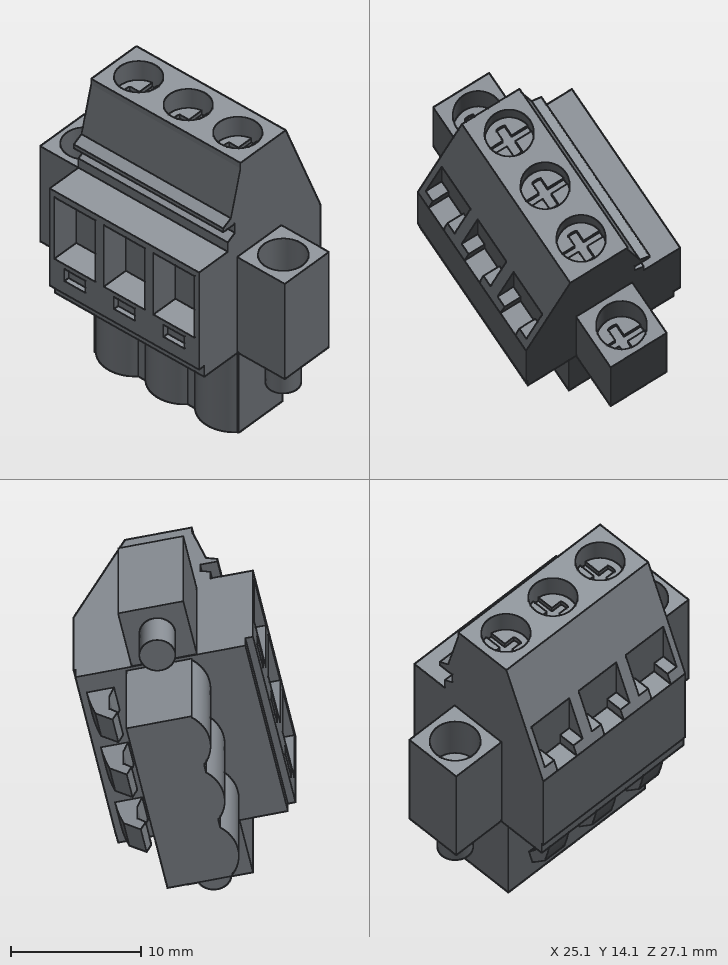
import cadquery as cq


pole_count = 3
pole_pitch = 5.07
pole_xs = [(i - (pole_count - 1) / 2) * pole_pitch for i in range(pole_count)]

housing_width = 15.28
housing_depth = 14.1
housing_bottom = 8.4
housing_top = 27.1
foot_top = 9.48
foot_back_step = 0.15
foot_front_step = 0.6
slope_bottom = 17.15
roof_back = -4.05
roof_front = -9.3
roof_edge_bottom = 26.55

ledge_top = 19.15
ledge_back = -10.75
lip_bottom = 21.44
lip_front = -11.3
groove_floor = -9.95

notch_front = -1.85
wide_notch_width = 4.06
wide_notch_back = -0.38
narrow_notch_width = 2.1

wire_width = 4.2
wire_bottom = 12.4
wire_top = 18.54
wire_depth = 2.55
test_width = 2.15
test_bottom = 10.75
test_top = 11.95
test_depth = 0.5

plug_width = 14.75
plug_back = -4.1
plug_front = -9.21
barrel_width = 4.35
barrel_bulge = 0.92

hook_width = narrow_notch_width
hook_back = -0.7
hook_root_front = -2.85
hook_neck = -2.47
hook_tip = 3.75

overall_width = 25.05
flange_depth = 5.12
flange_y = -7.13
flange_bottom = 8.48
flange_top = 17.97
flange_screw_x = 10.1
flange_xs = [-flange_screw_x, flange_screw_x]

terminal_screw_y = -6.7
terminal_screw_radius = 1.9
terminal_screw_length = 3.8
terminal_recess = 1.9
terminal_screw_top = housing_top - terminal_recess
terminal_screw_bottom = terminal_screw_top - terminal_screw_length

flange_head_radius = 1.95
flange_head_length = 1.9
flange_recess = 3.8
flange_head_top = flange_top - flange_recess
flange_head_bottom = flange_head_top - flange_head_length
shank_radius = 1.38
shank_bottom = 5.28

slot_width = 0.55
cross_slot_width = 0.79
terminal_cross_radius = 1.3
flange_cross_radius = 1.38
slot_depth = 0.4


def box(width, back, front, bottom, top, x=0.0):
    """Block centred on x, between two Y places and two Z places."""
    return cq.Workplane("XY").box(width, back - front, top - bottom).translate(
        (x, (back + front) / 2, (bottom + top) / 2)
    )


def cylinder(x, y, radius, bottom, top):
    """Upright cylinder between two heights."""
    return cq.Workplane("XY", origin=(x, y, bottom)).circle(radius).extrude(top - bottom)


def make_shell():
    """Main block, extruded from its (y, z) side outline."""
    outline = [
        (-foot_back_step, housing_bottom),
        (-foot_back_step, foot_top),
        (0, foot_top),
        (0, slope_bottom),
        (roof_back, housing_top),
        (roof_front, housing_top),
        (roof_front, roof_edge_bottom),
        (-10.4, 22.28),
        (lip_front, 21.82),
        (lip_front, lip_bottom),
        (groove_floor, lip_bottom),
        (groove_floor, 20.55),
        (ledge_back, 20.08),
        (ledge_back, ledge_top),
        (-housing_depth, ledge_top),
        (-housing_depth, foot_top),
        (-housing_depth + foot_front_step, foot_top),
        (-housing_depth + foot_front_step, housing_bottom),
    ]
    return cq.Workplane("YZ").polyline(outline).close().extrude(housing_width / 2, both=True)


def make_plug():
    """Plug below the block, with one rounded barrel per pole on its front."""
    plug = box(plug_width, plug_back, plug_front, 0, housing_bottom)
    half = barrel_width / 2
    for x in pole_xs:
        barrel = (
            cq.Workplane("XY")
            .moveTo(x - half, plug_front)
            .threePointArc((x, plug_front - barrel_bulge), (x + half, plug_front))
            .close()
            .extrude(housing_bottom)
        )
        plug = plug.union(barrel)
    return plug


def make_hook(x):
    """Latch hook under the housing, with a bowed back and a tip turned toward the plug."""
    return (
        cq.Workplane("YZ", origin=(x, 0, 0))
        .moveTo(hook_back, housing_bottom)
        .threePointArc((-0.98, 6.78), (-1.38, 5.12))
        .lineTo(-2.75, hook_tip)
        .lineTo(-3.12, 4.7)
        .lineTo(hook_neck, 5.45)
        .lineTo(hook_neck, 7.15)
        .lineTo(hook_root_front, housing_bottom)
        .close()
        .extrude(hook_width / 2, both=True)
    )


def make_back_notch(x):
    """Stepped notch; each floor starts where it meets the slope."""
    slope_rise = (housing_top - slope_bottom) / roof_back
    wide_floor = slope_bottom + slope_rise * wide_notch_back
    wide = box(wide_notch_width, 0, notch_front, wide_floor, housing_top, x)
    narrow = box(narrow_notch_width, 0, notch_front, slope_bottom, housing_top, x)
    return wide.union(narrow)


def make_front_openings(x):
    front = -housing_depth
    wire = box(wire_width, front + wire_depth, front, wire_bottom, wire_top, x)
    test = box(test_width, front + test_depth, front, test_bottom, test_top, x)
    return wire.union(test)


def make_housing():
    housing = make_shell().union(make_plug())
    flange_back = flange_y + flange_depth / 2
    flange_front = flange_y - flange_depth / 2
    housing = housing.union(box(overall_width, flange_back, flange_front, flange_bottom, flange_top))
    for x in pole_xs:
        housing = housing.union(make_hook(x))
        housing = housing.cut(make_back_notch(x)).cut(make_front_openings(x))
        housing = housing.cut(
            cylinder(x, terminal_screw_y, terminal_screw_radius, terminal_screw_bottom, housing_top)
        )
    for x in flange_xs:
        housing = housing.cut(cylinder(x, flange_y, flange_head_radius, flange_head_bottom, flange_top))
        housing = housing.cut(cylinder(x, flange_y, shank_radius, flange_bottom, flange_head_bottom))
    return housing


def make_cross_recess(x, y, head_radius, cross_radius, top):
    """Full-length slot along Y, crossed by a slot along X with rounded ends."""
    bottom = top - slot_depth
    slot = box(slot_width, y + head_radius, y - head_radius, bottom, top, x)
    half_cross = cross_slot_width / 2
    cross = box(2 * cross_radius, y + half_cross, y - half_cross, bottom, top, x)
    return slot.union(cross.intersect(cylinder(x, y, cross_radius, bottom, top)))


def make_terminal_screw(x):
    y = terminal_screw_y
    top = terminal_screw_top
    screw = cylinder(x, y, terminal_screw_radius, terminal_screw_bottom, top)
    return screw.cut(make_cross_recess(x, y, terminal_screw_radius, terminal_cross_radius, top))


def make_flange_screw(x):
    head = cylinder(x, flange_y, flange_head_radius, flange_head_bottom, flange_head_top)
    shank = cylinder(x, flange_y, shank_radius, shank_bottom, flange_head_bottom)
    recess = make_cross_recess(x, flange_y, flange_head_radius, flange_cross_radius, flange_head_top)
    return head.union(shank).cut(recess)


housing = make_housing()
terminal_screws = [make_terminal_screw(x) for x in pole_xs]
flange_screws = [make_flange_screw(x) for x in flange_xs]

result = cq.Compound.makeCompound(
    [housing.val()] + [screw.val() for screw in terminal_screws + flange_screws]
)